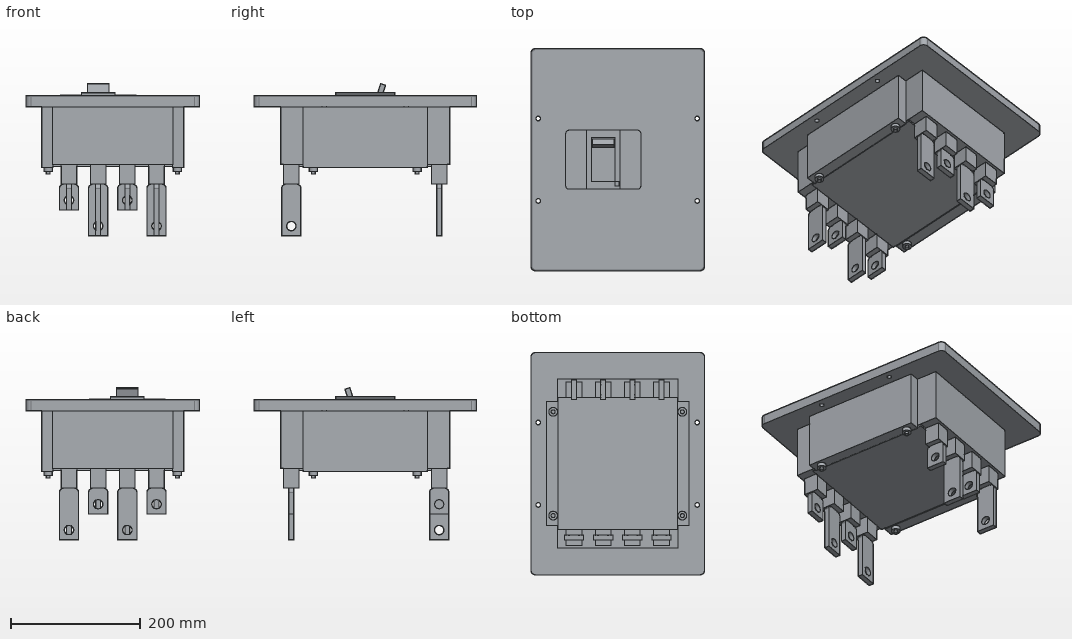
import cadquery as cq
import math


plate_width = 268.0
plate_length = 343.0
plate_thickness = 18.0
plate_corner_radius = 8.0
plate_top_round = 1.7
screw_hole_diameter = 7.0
screw_hole_x = 122.5
screw_hole_y = 63.5

panel_x = -22.3
panel_width = 115.5
panel_length = 91.0
panel_corner_radius = 5.0
panel_rise = 0.7

strip_width = 51.8
strip_rise = 4.0
slot_width = 36.5
slot_length = 68.0
slot_depth = 0.7
recess_width = 6.0
recess_length = 6.5
recess_depth = 0.5
recess_center_x = panel_x + slot_width / 2 + recess_width / 2
recess_center_y = -slot_length / 2 - recess_length / 2

handle_width = 33.5
handle_thickness = 8.2
handle_tilt = 18.0
handle_tip_y = 23.5
handle_rise = 18.2

wing_width = 219.2
wing_length = 191.0
wing_drop = 93.5
end_width = 186.0
end_length = 260.5
end_drop = 88.5
floor_width = 184.5
floor_drop = 92.0

stud_x = 99.5
stud_y = 80.0
nut_diameter = 13.5
nut_drop = 99.8
tip_diameter = 6.2
tip_drop = 103.5

terminal_pitch = 45.0
terminal_y = 114.0
block_size = 24.5
block_drop = 119.0
lug_width = 30.0
lug_thickness = 8.0
lug_corner_radius = 6.5
short_lug_drop = 158.8
long_lug_drop = 198.5
lug_hole_diameter = 14.0
lug_hole_to_tip = 15.0
terminal_xs = [(i - 1.5) * terminal_pitch for i in range(4)]
lug_drops = [short_lug_drop, long_lug_drop, short_lug_drop, long_lug_drop]

panel_top = plate_thickness + panel_rise
strip_top = plate_thickness + strip_rise
slot_floor = strip_top - slot_depth
floor_length = 2 * terminal_y - block_size


def box_between(width, length, bottom, top, x=0.0, y=0.0):
    """Box centred on (x, y) that spans the heights from bottom to top."""
    return (
        cq.Workplane("XY", origin=(x, y, bottom))
        .rect(width, length)
        .extrude(top - bottom)
    )


def make_panel():
    """Rounded block that stands on the level of the plate's underside and fills the window."""
    panel = box_between(panel_width, panel_length, 0, panel_top, panel_x)
    return panel.edges("|Z").fillet(panel_corner_radius)


def make_cover_plate():
    plate = (
        box_between(plate_width, plate_length, 0, plate_thickness)
        .edges("|Z")
        .fillet(plate_corner_radius)
        .faces(">Z")
        .edges()
        .fillet(plate_top_round)
    )
    screw_holes = (
        cq.Workplane("XY")
        .rect(2 * screw_hole_x, 2 * screw_hole_y, forConstruction=True)
        .vertices()
        .circle(screw_hole_diameter / 2)
        .extrude(plate_thickness)
    )
    return plate.cut(screw_holes).cut(make_panel())


def make_strip():
    strip = box_between(strip_width, panel_length, panel_top, strip_top, panel_x)
    slot = box_between(slot_width, slot_length, slot_floor, strip_top, panel_x)
    recess = box_between(
        recess_width, recess_length, strip_top - recess_depth, strip_top, recess_center_x, recess_center_y
    )
    return strip.cut(slot).cut(recess)


def make_handle():
    """Bar leaning toward +Y, standing on the slot floor."""
    tilt = math.radians(handle_tilt)
    tip_z = plate_thickness + handle_rise
    back_y = handle_tip_y + handle_thickness * math.cos(tilt)
    back_z = tip_z - handle_thickness * math.sin(tilt)
    front_foot_y = handle_tip_y - (tip_z - slot_floor) * math.tan(tilt)
    back_foot_y = back_y - (back_z - slot_floor) * math.tan(tilt)
    return (
        cq.Workplane("YZ", origin=(panel_x, 0, 0))
        .moveTo(front_foot_y, slot_floor)
        .lineTo(handle_tip_y, tip_z)
        .lineTo(back_y, back_z)
        .lineTo(back_foot_y, slot_floor)
        .close()
        .extrude(handle_width / 2, both=True)
    )


def make_housing():
    """Box with an end block toward -Y and +Y, and wings that stand below the floor as two side walls."""
    wings = box_between(wing_width, wing_length, -wing_drop, 0)
    gap_between_wings = box_between(floor_width, wing_length, -wing_drop, -floor_drop)
    ends = box_between(end_width, end_length, -end_drop, 0)
    floor = box_between(floor_width, floor_length, -floor_drop, 0)
    return wings.cut(gap_between_wings).union(ends).union(floor)


def make_stud(x, y):
    nut = cq.Workplane("XY", origin=(x, y, -nut_drop)).circle(nut_diameter / 2).extrude(nut_drop - wing_drop)
    tip = cq.Workplane("XY", origin=(x, y, -tip_drop)).circle(tip_diameter / 2).extrude(tip_drop - nut_drop)
    return nut.union(tip)


def make_terminal(x, y, lug_drop, lug_plane):
    """Block and lug; the lug lies flat in lug_plane, "XZ" or "YZ"."""
    block = box_between(block_size, block_size, -block_drop, -end_drop, x, y)
    half_width = lug_width / 2
    lug = (
        cq.Workplane(lug_plane, origin=(x, y, 0))
        .moveTo(-half_width, -lug_drop)
        .lineTo(half_width, -lug_drop)
        .lineTo(half_width, -block_drop - lug_corner_radius)
        .radiusArc((half_width - lug_corner_radius, -block_drop), -lug_corner_radius)
        .lineTo(lug_corner_radius - half_width, -block_drop)
        .radiusArc((-half_width, -block_drop - lug_corner_radius), -lug_corner_radius)
        .close()
        .moveTo(0, lug_hole_to_tip - lug_drop)
        .circle(lug_hole_diameter / 2)
        .extrude(lug_thickness / 2, both=True)
    )
    return block.union(lug)


def make_breaker():
    breaker = make_housing().union(make_panel()).union(make_strip()).union(make_handle())
    for x in (-stud_x, stud_x):
        for y in (-stud_y, stud_y):
            breaker = breaker.union(make_stud(x, y))
    for x, lug_drop in zip(terminal_xs, lug_drops):
        breaker = breaker.union(make_terminal(x, -terminal_y, lug_drop, "YZ"))
        breaker = breaker.union(make_terminal(x, terminal_y, lug_drop, "XZ"))
    return breaker


cover_plate = make_cover_plate()
breaker = make_breaker()

result = cq.Compound.makeCompound([cover_plate.val(), breaker.val()])